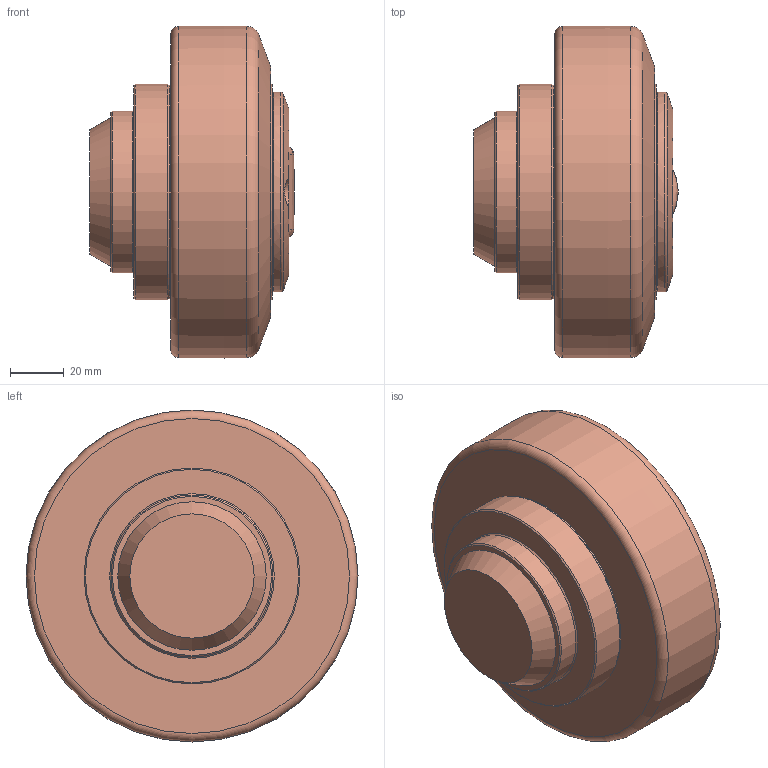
import cadquery as cq
import math


stub_tip_radius = 23.0
stub_cone_angle = 30.0
stub_cone_end = 7.8
stub_radius = 60.0 / 2
small_chamfer = 0.5

inner_ring_start = 16.4
inner_ring_shoulder_end = 29.5
inner_ring_end = 67.6
inner_ring_radius = 80.0 / 2
neck_radius = inner_ring_radius - small_chamfer

outer_ring_start = 30.0
outer_ring_end = 67.0
outer_ring_radius = 123.0 / 2
outer_ring_face_radius = 46.4
crown_radius = 500.0
rear_edge_radius = 3.0
front_edge_radius = 4.75
front_cone_angle = 20.0

cap_end = 73.8
cap_radius = 74.0 / 2
cap_face_radius = 30.75
cap_edge_radius = 1.0

hole_diameter = 10.0
hole_pitch_radius = 30.0
hole_depth = 4.0

overall_length = 75.8
roller_radius = 18.5
roller_length = 34.0
roller_edge_radius = 3.0


def revolve_about_x(profile):
    """Turn a half profile, drawn as (x, radius) in the XY plane, about the X axis."""
    return profile.close().revolve(360, (0, 0, 0), (1, 0, 0))


def cone_rise(axial_depth, angle):
    """Radial change of a cone over an axial depth, its angle measured from the axis."""
    return axial_depth * math.tan(math.radians(angle))


def sag(radius, half_chord):
    """Height of an arc over its chord."""
    return radius - math.sqrt(radius**2 - half_chord**2)


def quarter_round_inset(radius):
    """Distance from either flank of a square corner to the middle of its round."""
    return radius * (1 - math.cos(math.pi / 4))


def make_stub_and_inner_ring():
    chamfer = small_chamfer
    cone_end_radius = stub_tip_radius + cone_rise(stub_cone_end, stub_cone_angle)
    profile = (
        cq.Workplane("XY")
        .moveTo(0, 0)
        .lineTo(0, stub_tip_radius)
        .lineTo(stub_cone_end, cone_end_radius)
        .lineTo(stub_cone_end, stub_radius - chamfer)
        .lineTo(stub_cone_end + chamfer, stub_radius)
        .lineTo(inner_ring_start - chamfer, stub_radius)
        .lineTo(inner_ring_start, stub_radius + chamfer)
        .lineTo(inner_ring_start, inner_ring_radius - chamfer)
        .lineTo(inner_ring_start + chamfer, inner_ring_radius)
        .lineTo(inner_ring_shoulder_end - chamfer, inner_ring_radius)
        .lineTo(inner_ring_shoulder_end, neck_radius)
        .lineTo(outer_ring_start, neck_radius)
        .lineTo(outer_ring_start, inner_ring_radius)
        .lineTo(inner_ring_end, inner_ring_radius)
        .lineTo(inner_ring_end, 0)
    )
    return revolve_about_x(profile)


def make_outer_ring():
    """Crowned ring: full height at mid-crown, rounded at the rear, coned and rounded at the front."""
    cone_angle = math.radians(front_cone_angle)
    round_turn = math.pi / 2 - cone_angle
    round_drop = front_edge_radius * (1 - math.cos(round_turn))
    round_run = front_edge_radius * math.sin(round_turn)

    crown_start = outer_ring_start + rear_edge_radius
    cone_depth = (outer_ring_radius - round_drop - outer_ring_face_radius) * math.tan(cone_angle)
    round_end = outer_ring_end - cone_depth
    crown_end = round_end - round_run
    half_crown = (crown_end - crown_start) / 2
    crown_sag = sag(crown_radius, half_crown)
    edge_radius = outer_ring_radius - crown_sag

    half_turn = round_turn / 2
    front_mid = (
        crown_end + front_edge_radius * math.sin(half_turn),
        edge_radius - front_edge_radius * (1 - math.cos(half_turn)),
    )
    rear_inset = quarter_round_inset(rear_edge_radius)
    rear_mid = (outer_ring_start + rear_inset, edge_radius - rear_inset)
    profile = (
        cq.Workplane("XY")
        .moveTo(outer_ring_start, 0)
        .lineTo(outer_ring_start, edge_radius - rear_edge_radius)
        .threePointArc(rear_mid, (crown_start, edge_radius))
        .threePointArc((crown_start + half_crown, outer_ring_radius), (crown_end, edge_radius))
        .threePointArc(front_mid, (round_end, edge_radius - round_drop))
        .lineTo(outer_ring_end, outer_ring_face_radius)
        .lineTo(outer_ring_end, 0)
    )
    return revolve_about_x(profile)


def make_cap():
    cone_depth = (cap_radius - cap_face_radius) * math.tan(math.radians(front_cone_angle))
    shoulder = cap_end - cone_depth
    profile = (
        cq.Workplane("XY")
        .moveTo(outer_ring_end, 0)
        .lineTo(outer_ring_end, cap_radius - small_chamfer)
        .lineTo(inner_ring_end, cap_radius - small_chamfer)
        .lineTo(inner_ring_end + small_chamfer, cap_radius)
        .lineTo(shoulder, cap_radius)
        .lineTo(cap_end, cap_face_radius)
        .lineTo(cap_end, 0)
    )
    cap = revolve_about_x(profile)
    shoulder_edge = cq.selectors.NearestToPointSelector((shoulder, 0, 0))
    return cap.edges("%CIRCLE").edges(shoulder_edge).fillet(cap_edge_radius)


def make_pin_holes():
    """Two blind holes that break out through the edge of the cap's flat face."""
    return (
        cq.Workplane("YZ", origin=(cap_end - hole_depth, 0, 0))
        .pushPoints([(-hole_pitch_radius, 0), (hole_pitch_radius, 0)])
        .circle(hole_diameter / 2)
        .extrude(hole_depth)
    )


def make_axial_roller():
    """Crowned roller along Z that stands out of the cap face."""
    crown_half = roller_length / 2 - roller_edge_radius
    crown_sag = sag(crown_radius, crown_half)
    edge_radius = roller_radius - crown_sag
    inset = quarter_round_inset(roller_edge_radius)
    half_length = roller_length / 2
    profile = (
        cq.Workplane("XZ")
        .moveTo(0, -half_length)
        .lineTo(edge_radius - roller_edge_radius, -half_length)
        .threePointArc((edge_radius - inset, inset - half_length), (edge_radius, -crown_half))
        .threePointArc((roller_radius, 0), (edge_radius, crown_half))
        .threePointArc(
            (edge_radius - inset, half_length - inset),
            (edge_radius - roller_edge_radius, half_length),
        )
        .lineTo(0, half_length)
        .close()
    )
    roller = profile.revolve(360, (0, 0, 0), (0, 1, 0))
    return roller.translate((overall_length - roller_radius, 0, 0))


body = make_stub_and_inner_ring().union(make_outer_ring()).union(make_cap())
result = body.cut(make_pin_holes()).union(make_axial_roller())